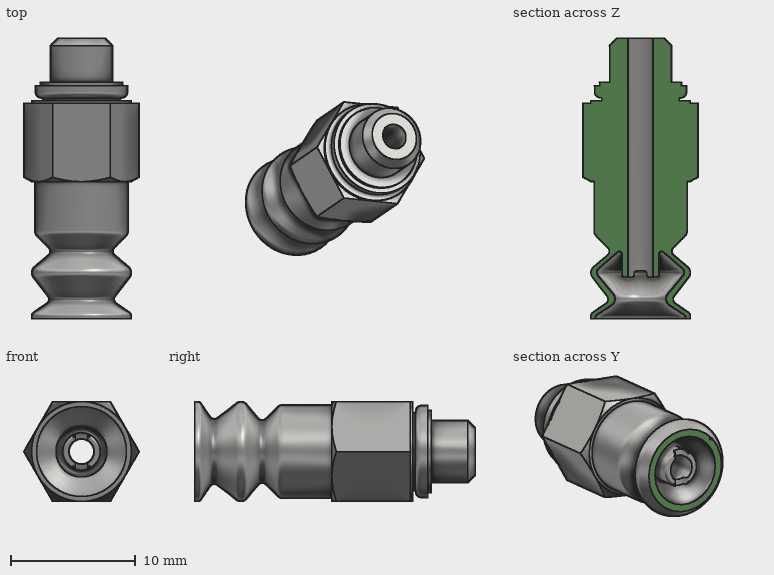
import math

import cadquery as cq


total_length = 22.5
body_start = 7.07
hex_start = 11.0
hex_end = 17.3
collar_end = 17.5
gasket_start = 17.7
gasket_end = 18.7
shoulder_end = 18.97

body_diameter = 7.5
hex_sides = 6
hex_across_flats = 8.0
collar_diameter = hex_across_flats
neck_diameter = 6.25
gasket_diameter = 7.4
gasket_rounding = 0.5
shoulder_diameter = 6.6
screw_diameter = 5.0
screw_chamfer = 0.6
bore_diameter = 2.0
hex_chamfer_angle = 30.0

lip_diameter = 8.0
lip_rounding = 0.34
lip_center = 0.24
outer_front_waist_diameter = 5.25
outer_front_waist_rounding = 0.41
outer_front_waist_center = 1.58
outer_bulge_diameter = 8.0
outer_bulge_rounding = 0.6
outer_bulge_center = 3.71
outer_rear_waist_diameter = 5.05
outer_rear_waist_rounding = 0.41
outer_rear_waist_center = 5.42
body_rounding = 0.6

mouth_diameter = 7.2
mouth_rounding = 0.2
mouth_center = 0.15
inner_waist_diameter = 4.08
inner_waist_rounding = 0.63
inner_waist_center = 1.61
inner_bulge_diameter = 7.0
inner_bulge_rounding = 0.4
inner_bulge_center = 3.73

nozzle_diameter = 3.0
nozzle_rounding = 0.2
nozzle_tip = 3.34
nozzle_root_center = 5.2
slot_width = 1.0
slot_depth = 0.5
slot_rounding = 0.2


def corner(diameter, y):
    """A sharp corner of the profile."""
    return (diameter / 2, y, 0.0)


def outer_crest(diameter, y, rounding):
    """A rounded bulge of an outside wall that touches the diameter from within (a left turn)."""
    return (diameter / 2 - rounding, y, rounding)


def outer_waist(diameter, y, rounding):
    """A rounded waist of an outside wall that touches the diameter from without (a right turn)."""
    return (diameter / 2 + rounding, y, -rounding)


def inner_crest(diameter, y, rounding):
    """A rounded widening of a cavity wall that touches the diameter from within (a right turn)."""
    return (diameter / 2 - rounding, y, -rounding)


def inner_waist(diameter, y, rounding):
    """A rounded narrowing of a cavity wall that touches the diameter from without (a left turn)."""
    return (diameter / 2 + rounding, y, rounding)


def tangent_points(first, second):
    """Ends of the straight line joining two turns (x, y, radius; the radius is negative for right turns)."""
    x1, y1, radius1 = first
    x2, y2, radius2 = second
    distance = math.hypot(x2 - x1, y2 - y1)
    heading = math.atan2(y2 - y1, x2 - x1) - math.asin((radius2 - radius1) / distance)
    normal_x = -math.sin(heading)
    normal_y = math.cos(heading)
    start = (x1 - radius1 * normal_x, y1 - radius1 * normal_y)
    end = (x2 - radius2 * normal_x, y2 - radius2 * normal_y)
    return start, end


def arc_middle(turn, start, end):
    """Middle of the arc of a turn of less than half a circle."""
    x, y, radius = turn
    toward_x = start[0] + end[0] - 2 * x
    toward_y = start[1] + end[1] - 2 * y
    scale = abs(radius) / math.hypot(toward_x, toward_y)
    return (x + toward_x * scale, y + toward_y * scale)


def rounded_outline(turns):
    """Closed outline of straight lines and tangent arcs; the first turn is a sharp corner."""
    first_corner = turns[0]
    outline = cq.Workplane("XY").moveTo(first_corner[0], first_corner[1])
    following_turns = turns[1:] + turns[:1]
    for previous, turn, following in zip(turns, turns[1:], following_turns[1:]):
        arc_start = tangent_points(previous, turn)[1]
        arc_end = tangent_points(turn, following)[0]
        outline = outline.lineTo(*arc_start)
        if turn[2] != 0:
            outline = outline.threePointArc(arc_middle(turn, arc_start, arc_end), arc_end)
    return outline.close()


def turned_body():
    """Everything round about the axis, with the cup cavity and the through bore."""
    bellows_outside = [
        corner(mouth_diameter, 0),
        corner(lip_diameter, 0),
        outer_crest(lip_diameter, lip_center, lip_rounding),
        outer_waist(outer_front_waist_diameter, outer_front_waist_center, outer_front_waist_rounding),
        outer_crest(outer_bulge_diameter, outer_bulge_center, outer_bulge_rounding),
        outer_waist(outer_rear_waist_diameter, outer_rear_waist_center, outer_rear_waist_rounding),
        outer_crest(body_diameter, body_start, body_rounding),
    ]
    fitting_outside = [
        corner(body_diameter, hex_end),
        corner(collar_diameter, hex_end),
        corner(collar_diameter, collar_end),
        corner(neck_diameter, collar_end),
        corner(neck_diameter, gasket_start),
        outer_crest(gasket_diameter, gasket_start + gasket_rounding, gasket_rounding),
        corner(gasket_diameter, gasket_end),
        corner(shoulder_diameter, gasket_end),
        corner(shoulder_diameter, shoulder_end),
        corner(screw_diameter, shoulder_end),
        corner(screw_diameter, total_length - screw_chamfer),
        corner(screw_diameter - 2 * screw_chamfer, total_length),
    ]
    inside = [
        corner(bore_diameter, total_length),
        corner(bore_diameter, nozzle_tip),
        outer_crest(nozzle_diameter, nozzle_tip + nozzle_rounding, nozzle_rounding),
        outer_waist(nozzle_diameter, nozzle_root_center, nozzle_rounding),
        inner_crest(inner_bulge_diameter, inner_bulge_center, inner_bulge_rounding),
        inner_waist(inner_waist_diameter, inner_waist_center, inner_waist_rounding),
        inner_crest(mouth_diameter, mouth_center, mouth_rounding),
    ]
    profile = rounded_outline(bellows_outside + fitting_outside + inside)
    return profile.revolve(360, (0, 0, 0), (0, 1, 0))


def hex_nut():
    """Hexagon with corners on the X axis, chamfered on the cup side; its hollow core overlaps the body."""
    across_corners = hex_across_flats / math.cos(math.pi / hex_sides)
    length = hex_end - hex_start
    chamfer_width = (across_corners - hex_across_flats) / 2
    chamfer_length = chamfer_width * math.tan(math.radians(hex_chamfer_angle))
    hexagon = cq.Workplane("XZ", origin=(0, hex_end, 0)).polygon(hex_sides, across_corners).extrude(length)
    envelope = (
        cq.Workplane("XY")
        .moveTo(0, hex_start)
        .lineTo(hex_across_flats / 2, hex_start)
        .lineTo(across_corners / 2, hex_start + chamfer_length)
        .lineTo(across_corners / 2, hex_end)
        .lineTo(0, hex_end)
        .close()
        .revolve(360, (0, 0, 0), (0, 1, 0))
    )
    core = cq.Workplane("XZ", origin=(0, hex_end, 0)).circle(neck_diameter / 2).extrude(length)
    return hexagon.intersect(envelope).cut(core)


def nozzle_slot():
    """Cutter for the slot along Z in the nozzle tip, with a flared mouth and a rounded floor."""
    half_width = slot_width / 2
    half_floor = half_width - slot_rounding
    half_mouth = half_width + slot_rounding
    floor = nozzle_tip + slot_depth
    bend = slot_rounding * (1 - math.sqrt(0.5))
    return (
        cq.Workplane("XY", origin=(0, 0, -nozzle_diameter / 2))
        .moveTo(-half_mouth, nozzle_tip)
        .threePointArc((-half_width - bend, nozzle_tip + bend), (-half_width, nozzle_tip + slot_rounding))
        .lineTo(-half_width, floor - slot_rounding)
        .threePointArc((-half_width + bend, floor - bend), (-half_floor, floor))
        .lineTo(half_floor, floor)
        .threePointArc((half_width - bend, floor - bend), (half_width, floor - slot_rounding))
        .lineTo(half_width, nozzle_tip + slot_rounding)
        .threePointArc((half_width + bend, nozzle_tip + bend), (half_mouth, nozzle_tip))
        .close()
        .extrude(nozzle_diameter)
    )


result = turned_body().union(hex_nut()).cut(nozzle_slot())